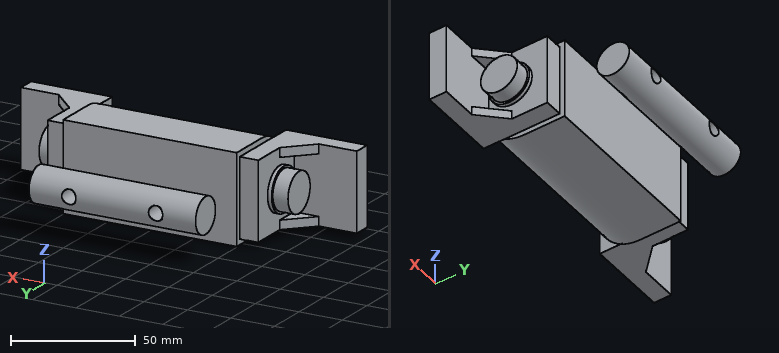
import cadquery as cq

total_length = 155.0
block_length = 80.0
block_height = 40.0
round_radius = block_height / 2
half_block = block_length / 2

bracket_length = (total_length - block_length) / 2
bracket_height = 35.0
bracket_depth = 37.5
wall = 8.5
gusset_leg = round_radius - wall
gusset_thickness = 4.2

collar_diameter = 20.0
collar_length = 1.9
stub_diameter = 18.0
stub_length = 7.0

overall_depth = 70.7
pin_diameter = 16.1
pin_length = 76.9
cross_hole_diameter = 6.5
cross_hole_spacing = 40.0


def x_cylinder(diameter, start_x, length, center_y):
    return (
        cq.Workplane("YZ", origin=(start_x, center_y, 0))
        .circle(diameter / 2)
        .extrude(length)
    )


def make_block():
    return (
        cq.Workplane("YZ", origin=(-half_block, 0, 0))
        .moveTo(block_height, -round_radius)
        .lineTo(round_radius, -round_radius)
        .threePointArc((0, 0), (round_radius, round_radius))
        .lineTo(block_height, round_radius)
        .close()
        .extrude(block_length)
    )


def make_end():
    """Bracket at the +X end, with its two gussets and stepped boss."""
    wall_face = half_block + wall
    angle_plate = (
        cq.Workplane("XY", origin=(0, 0, -bracket_height / 2))
        .moveTo(half_block, 0)
        .lineTo(half_block + bracket_length, 0)
        .lineTo(half_block + bracket_length, wall)
        .lineTo(wall_face, wall)
        .lineTo(wall_face, bracket_depth)
        .lineTo(half_block, bracket_depth)
        .close()
        .extrude(bracket_height)
    )
    end = angle_plate
    for bottom in (-bracket_height / 2, bracket_height / 2 - gusset_thickness):
        gusset = (
            cq.Workplane("XY", origin=(wall_face, wall, bottom))
            .lineTo(gusset_leg, 0)
            .lineTo(0, gusset_leg)
            .close()
            .extrude(gusset_thickness)
        )
        end = end.union(gusset)
    collar = x_cylinder(collar_diameter, wall_face, collar_length, round_radius)
    stub = x_cylinder(stub_diameter, wall_face + collar_length, stub_length, round_radius)
    return end.union(collar).union(stub)


def make_housing():
    end = make_end()
    return make_block().union(end).union(end.mirror("YZ"))


def make_pin():
    """Round pin with two cross holes running through it along Y."""
    pin = x_cylinder(pin_diameter, -pin_length / 2, pin_length, overall_depth - pin_diameter / 2)
    for hole_x in (-cross_hole_spacing / 2, cross_hole_spacing / 2):
        cross_hole = (
            cq.Workplane("XZ", origin=(hole_x, overall_depth, 0))
            .circle(cross_hole_diameter / 2)
            .extrude(pin_diameter)
        )
        pin = pin.cut(cross_hole)
    return pin


housing = make_housing()
pin = make_pin()
result = cq.Compound.makeCompound([housing.val(), pin.val()])